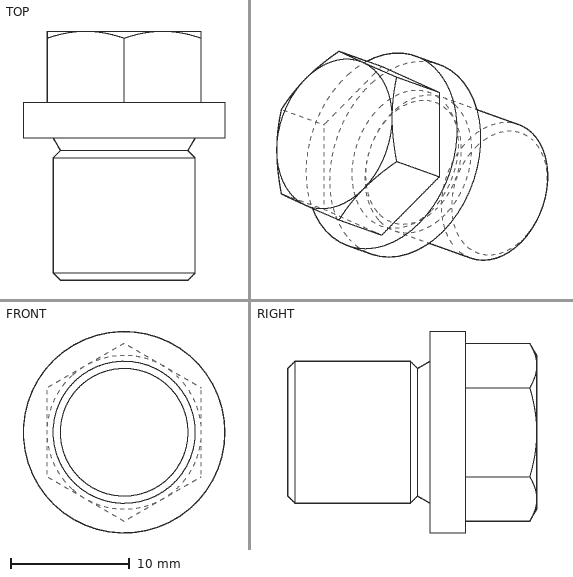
import cadquery as cq
import math

total_length = 21.0
flange_diameter = 17.0
flange_thickness = 3.0
head_height = 6.0
across_flats = 13.0
head_chamfer_angle = 30.0
shank_diameter = 12.0
shank_chamfer = 0.6
undercut_length = 1.05

flange_radius = flange_diameter / 2
shank_radius = shank_diameter / 2
chamfered_radius = shank_radius - shank_chamfer
head_top = flange_thickness + head_height
shank_end = head_top - total_length
across_corners = across_flats / math.cos(math.radians(30))


def revolve_about_axis(profile):
    """Revolve a closed (radius, Y) profile around the Y axis."""
    return cq.Workplane("XY").polyline(profile).close().revolve(360, (0, 0, 0), (0, 1, 0))


def make_flanged_shank():
    """Flange and shank, with a tapered undercut and chamfers at both shank ends."""
    return revolve_about_axis([
        (0, flange_thickness),
        (flange_radius, flange_thickness),
        (flange_radius, 0),
        (shank_radius, 0),
        (chamfered_radius, -undercut_length),
        (shank_radius, -undercut_length - shank_chamfer),
        (shank_radius, shank_end + shank_chamfer),
        (chamfered_radius, shank_end),
        (0, shank_end),
    ])


def make_head():
    """Hexagonal head with flats facing X and a conical chamfer on its outer end."""
    hexagon = (
        cq.Workplane("XZ", origin=(0, flange_thickness, 0))
        .transformed(rotate=(0, 0, 90))
        .polygon(6, across_corners)
        .extrude(-head_height)
    )
    top_radius = across_flats / 2
    cone_drop = (flange_radius - top_radius) * math.tan(math.radians(head_chamfer_angle))
    chamfer_envelope = revolve_about_axis([
        (0, flange_thickness),
        (flange_radius, flange_thickness),
        (flange_radius, head_top - cone_drop),
        (top_radius, head_top),
        (0, head_top),
    ])
    return hexagon.intersect(chamfer_envelope)


result = make_flanged_shank().union(make_head())